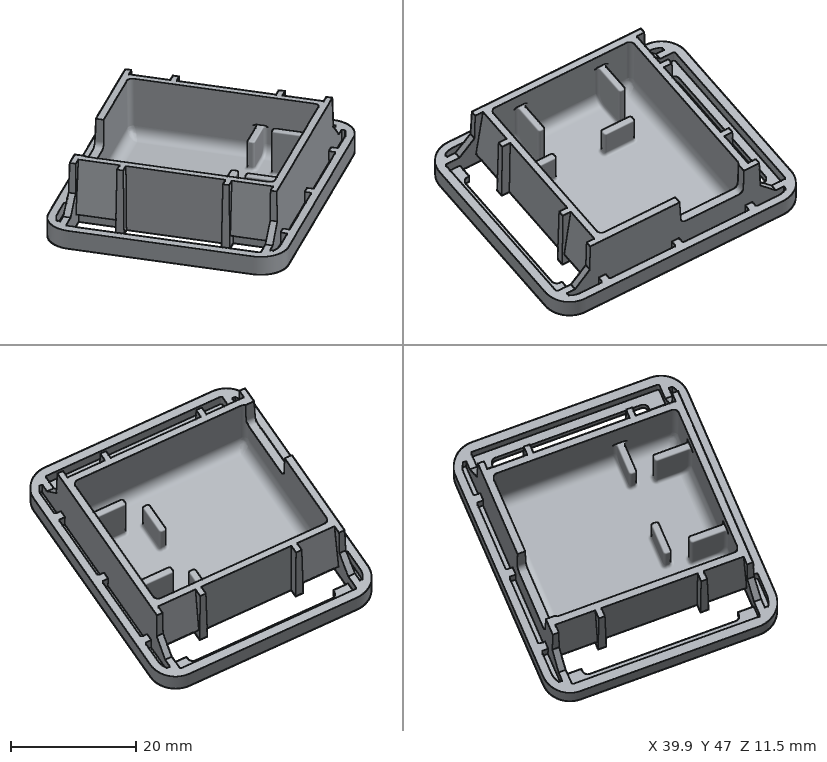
import cadquery as cq
import math

FRAME_X = 39.9
FRAME_Y = 47.0
FRAME_HEIGHT = 3.3
FRAME_CORNER_RADIUS = 4.6
RIM_WIDTH = 1.4
FLANGE_TOP = 1.3

TOTAL_HEIGHT = 11.5
BOX_X = 34.95
BOX_Y = 29.95
BOX_DRAFT = 1.4
SIDE_WALL_INNER_X = 16.15

EXTENSION_TOP_Y = 16.15
EXTENSION_KNEE_Y = 16.3
KNEE_HEIGHT = 6.15

OPENING_Y = 43.8
OPENING_CORNER_RADIUS = 0.3
WINDOW_TAB_Y = 38.15
WINDOW_X = 26.9
WINDOW_Y = 40.8
WINDOW_CORNER_RADIUS = 0.95

GROOVE_Y = 41.45
BRIDGE_WIDTH = 1.35
BRIDGE_PITCH = 14.0
GROOVE_CORNER_RADIUS = 0.25

CAVITY_X = 31.75
CAVITY_Y = 26.95
CAVITY_DRAFT = 0.8
CAVITY_FLOOR = 1.15
CAVITY_CORNER_RADIUS = 0.9
CAVITY_FLOOR_RADIUS = 1.95

FIN_THICKNESS = 1.25
FIN_END_RADIUS = 0.4
FIN_TOP_RADIUS = 0.25
FIN_ROOT_RADIUS = 0.55
PICK_MARGIN = 0.025
WALL_FIN_END_X = 9.65
WALL_FIN_Y = 7.7
WALL_FIN_TOP = 9.02
CROSS_FIN_X = 6.05
BACK_FIN_END_Y = 7.6
BACK_FIN_TOP = 6.3
FREE_FIN_Y_MIN = -7.35
FREE_FIN_Y_MAX = -1.5
FREE_FIN_TOP = 6.0

RIB_X = 8.8
RIB_WIDTH = 1.4
RIB_TIP_Y = 16.4
RIB_DRAFT = 0.9
CATCH_TIP_Y = 16.05
CATCH_BOTTOM = 2.2
CATCH_RECESS_Y = 14.48

NOTCH_Y_MIN = -13.2
NOTCH_Y_MAX = -0.95
NOTCH_FLOOR = 6.55
NOTCH_SIDE_SLOPE = 0.2
NOTCH_RADIUS = 1.05


def block(x_min, x_max, y_min, y_max, z_min, z_max):
    """Axis-aligned box from its limits."""
    return (
        cq.Workplane("XY")
        .box(x_max - x_min, y_max - y_min, z_max - z_min, centered=False)
        .translate((x_min, y_min, z_min))
    )


def centred_block(size_x, size_y, z_min, z_max):
    """Box centred on the Z axis."""
    return block(-size_x / 2, size_x / 2, -size_y / 2, size_y / 2, z_min, z_max)


def make_grooves():
    """Grooves along both long sides, split by three bridges each."""
    outline = (
        centred_block(FRAME_X - 2 * RIM_WIDTH, FRAME_Y - 2 * RIM_WIDTH, FLANGE_TOP, FRAME_HEIGHT)
        .edges("|Z")
        .fillet(FRAME_CORNER_RADIUS - RIM_WIDTH)
    )
    grooves = outline.intersect(centred_block(FRAME_X, GROOVE_Y, 0, FRAME_HEIGHT))
    grooves = grooves.cut(centred_block(2 * SIDE_WALL_INNER_X + 0.95, FRAME_Y, 0, FRAME_HEIGHT))
    for step in (-1, 0, 1):
        bridge = centred_block(FRAME_X, BRIDGE_WIDTH, 0, FRAME_HEIGHT)
        grooves = grooves.cut(bridge.translate((0, step * BRIDGE_PITCH, 0)))

    bridged_y = BRIDGE_PITCH + BRIDGE_WIDTH
    for low_x, high_x in ((-FRAME_X / 2, -SIDE_WALL_INNER_X - 1.4), (SIDE_WALL_INNER_X + 1.4, FRAME_X / 2)):
        near_bridges = cq.selectors.BoxSelector((low_x, -bridged_y, 0), (high_x, bridged_y, FRAME_HEIGHT))
        grooves = grooves.edges(near_bridges).edges("|Z").fillet(GROOVE_CORNER_RADIUS)
    return grooves


def make_frame():
    """Rounded frame with side grooves, end ledges and the through window."""
    frame = (
        centred_block(FRAME_X, FRAME_Y, 0, FRAME_HEIGHT)
        .edges("|Z")
        .fillet(FRAME_CORNER_RADIUS)
    )
    opening = (
        centred_block(2 * SIDE_WALL_INNER_X, OPENING_Y, FLANGE_TOP, FRAME_HEIGHT)
        .edges("|Z")
        .fillet(OPENING_CORNER_RADIUS)
    )
    window = (
        centred_block(WINDOW_X, WINDOW_Y, 0, FLANGE_TOP)
        .edges("|Z")
        .fillet(WINDOW_CORNER_RADIUS)
        .union(centred_block(2 * SIDE_WALL_INNER_X, WINDOW_TAB_Y, 0, FLANGE_TOP))
    )
    return frame.cut(make_grooves()).cut(opening).cut(window)


def make_side_walls():
    """Drafted side walls that run past the box and brace down to the frame."""
    brace_foot_y = EXTENSION_KNEE_Y + KNEE_HEIGHT - FRAME_HEIGHT
    half_profile = [
        (GROOVE_Y / 2, 0),
        (GROOVE_Y / 2, FRAME_HEIGHT),
        (brace_foot_y, FRAME_HEIGHT),
        (EXTENSION_KNEE_Y, KNEE_HEIGHT),
        (EXTENSION_TOP_Y, TOTAL_HEIGHT),
    ]
    mirrored = [(-y, z) for y, z in reversed(half_profile)]
    walls = (
        cq.Workplane("YZ")
        .polyline(half_profile + mirrored)
        .close()
        .extrude(BOX_X / 2, both=True)
    )
    draft_inset = TOTAL_HEIGHT * math.tan(math.radians(BOX_DRAFT))
    envelope = (
        cq.Workplane("XZ")
        .polyline([
            (-BOX_X / 2, 0),
            (BOX_X / 2, 0),
            (BOX_X / 2 - draft_inset, TOTAL_HEIGHT),
            (-BOX_X / 2 + draft_inset, TOTAL_HEIGHT),
        ])
        .close()
        .extrude(FRAME_Y / 2, both=True)
    )
    middle = centred_block(2 * SIDE_WALL_INNER_X, FRAME_Y, 0, TOTAL_HEIGHT)
    return walls.intersect(envelope).cut(middle)


def make_ribs():
    """Drafted upright ribs, two crossing each end wall."""
    return (
        cq.Workplane("XY")
        .pushPoints([(-RIB_X, 0), (RIB_X, 0)])
        .rect(RIB_WIDTH, 2 * RIB_TIP_Y)
        .extrude(TOTAL_HEIGHT, taper=RIB_DRAFT)
    )


def between_ribs_and_side_walls(solid):
    """Keep only the parts of a solid that lie between a rib and a side wall."""
    middle = centred_block(2 * RIB_X, FRAME_Y, 0, TOTAL_HEIGHT)
    return solid.intersect(centred_block(2 * SIDE_WALL_INNER_X, FRAME_Y, 0, TOTAL_HEIGHT)).cut(middle)


def make_catches():
    """Wedges between the ribs and the side walls, wider towards the base."""
    wall_top_y = BOX_Y / 2 - TOTAL_HEIGHT * math.tan(math.radians(BOX_DRAFT))
    wedge = (
        cq.Workplane("YZ")
        .polyline([
            (-wall_top_y, TOTAL_HEIGHT),
            (-CATCH_TIP_Y, CATCH_BOTTOM),
            (CATCH_TIP_Y, CATCH_BOTTOM),
            (wall_top_y, TOTAL_HEIGHT),
        ])
        .close()
        .extrude(FRAME_X / 2, both=True)
    )
    return between_ribs_and_side_walls(wedge)


def make_catch_recesses():
    """Shallow recesses in the end walls under the catches."""
    beyond_recess = centred_block(FRAME_X, BOX_Y, 0, CATCH_BOTTOM).cut(
        centred_block(FRAME_X, 2 * CATCH_RECESS_Y, 0, CATCH_BOTTOM)
    )
    return between_ribs_and_side_walls(beyond_recess)


def edges_between(solid, low, high):
    """Edges that lie wholly between two corner points, give or take the pick margin."""
    low = tuple(value - PICK_MARGIN for value in low)
    high = tuple(value + PICK_MARGIN for value in high)
    return solid.edges(cq.selectors.BoxSelector(low, high, boundingbox=True))


def add_fin(cavity, x_span, y_span, top, free_ends):
    """Leave a fin standing in the cavity space, with rounded ends, roots and top."""
    fin = block(*x_span, *y_span, 0, top)
    for end in free_ends:
        fin = fin.faces(end).edges("|Z").fillet(FIN_END_RADIUS)
    cavity = cavity.cut(fin)

    roll_top = CAVITY_FLOOR + CAVITY_FLOOR_RADIUS
    corner_low = (x_span[0], y_span[0])
    corner_high = (x_span[1], y_span[1])
    lower_roots = edges_between(cavity, (*corner_low, CAVITY_FLOOR), (*corner_high, roll_top))
    wall_roots = (
        edges_between(cavity, (*corner_low, CAVITY_FLOOR_RADIUS), (*corner_high, top))
        .edges("%LINE")
        .edges("not (#Z or |Z)")
    )
    cavity = cavity.newObject(lower_roots.vals() + wall_roots.vals()).fillet(FIN_ROOT_RADIUS)

    x_max = min(x_span[1], CAVITY_X / 2 - FIN_ROOT_RADIUS / 2)
    y_max = min(y_span[1], CAVITY_Y / 2 - FIN_ROOT_RADIUS / 2)
    return edges_between(cavity, (x_span[0], y_span[0], top), (x_max, y_max, top)).fillet(FIN_TOP_RADIUS)


def make_cavity():
    """Drafted cavity with rounded upright corners and a rolled floor edge."""
    cavity = (
        cq.Workplane("XY")
        .workplane(offset=TOTAL_HEIGHT)
        .rect(CAVITY_X, CAVITY_Y)
        .extrude(CAVITY_FLOOR - TOTAL_HEIGHT, taper=CAVITY_DRAFT)
        .edges("not(|X or |Y)")
        .fillet(CAVITY_CORNER_RADIUS)
        .faces("<Z")
        .edges()
        .fillet(CAVITY_FLOOR_RADIUS)
    )
    return cavity


def make_notch():
    """Rounded, slightly tapered notch through the -X wall."""
    return (
        cq.Workplane("YZ")
        .workplane(offset=-FRAME_X / 2)
        .polyline([
            (NOTCH_Y_MIN, TOTAL_HEIGHT),
            (NOTCH_Y_MIN + NOTCH_SIDE_SLOPE, NOTCH_FLOOR),
            (NOTCH_Y_MAX - NOTCH_SIDE_SLOPE, NOTCH_FLOOR),
            (NOTCH_Y_MAX, TOTAL_HEIGHT),
        ])
        .close()
        .extrude((FRAME_X - CAVITY_X) / 2 + 0.95)
        .edges("|X and <Z")
        .fillet(NOTCH_RADIUS)
    )


def make_cavity_with_fins():
    """Cavity space with two fins off the +X wall, one off the +Y wall and one free fin."""
    half = FIN_THICKNESS / 2
    wall_fin_x = (WALL_FIN_END_X, CAVITY_X / 2)
    wall_fin_y = (WALL_FIN_Y - half, WALL_FIN_Y + half)
    cross_x = (CROSS_FIN_X - half, CROSS_FIN_X + half)

    back_half = add_fin(make_cavity(), wall_fin_x, wall_fin_y, WALL_FIN_TOP, ["<X"]).intersect(
        block(-FRAME_X / 2, FRAME_X / 2, 0, FRAME_Y / 2, 0, TOTAL_HEIGHT)
    )
    cavity = back_half.union(back_half.mirror("XZ"))

    cavity = add_fin(cavity, cross_x, (BACK_FIN_END_Y, CAVITY_Y / 2), BACK_FIN_TOP, ["<Y"])
    return add_fin(cavity, cross_x, (FREE_FIN_Y_MIN, FREE_FIN_Y_MAX), FREE_FIN_TOP, ["<Y", ">Y"])


box = cq.Workplane("XY").rect(BOX_X, BOX_Y).extrude(TOTAL_HEIGHT, taper=BOX_DRAFT)
box = box.cut(make_catch_recesses()).union(make_catches())
body = box.union(make_ribs()).union(make_side_walls())
result = make_frame().union(body).cut(make_cavity_with_fins()).cut(make_notch())